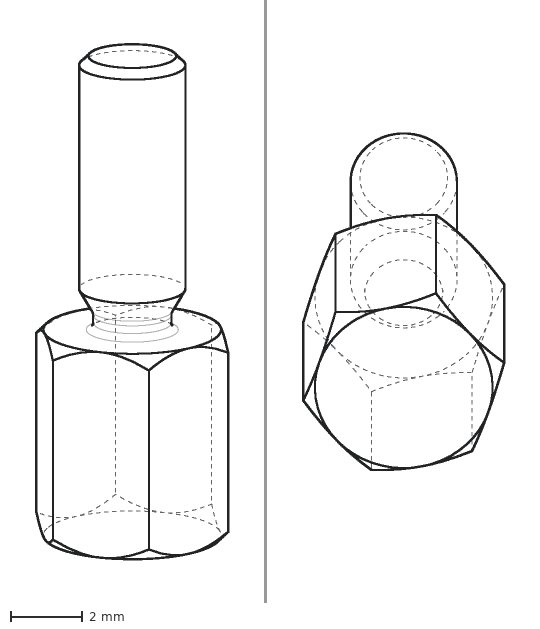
import cadquery as cq
import math

total_height = 14.0
across_flats = 5.0
across_corners = across_flats / math.cos(math.radians(30))
hex_height = 6.0

stud_radius = 3.0 / 2
tip_radius = 2.46 / 2
tip_chamfer = stud_radius - tip_radius

neck_radius = 2.2 / 2
neck_fillet = 0.2
undercut_height = 1.19
cone_angle = math.radians(30)
cone_blend_radius = 0.3


def hex_body():
    """Hexagonal prism with both ends turned to 45 degree conical chamfers."""
    prism = cq.Workplane("XY").polygon(6, across_corners).extrude(hex_height)
    corner_radius = across_corners / 2
    corner_chamfer = corner_radius - across_flats / 2
    turned_envelope = (
        cq.Workplane("XY").circle(corner_radius).extrude(hex_height)
        .edges().chamfer(corner_chamfer)
    )
    return prism.intersect(turned_envelope)


def stud():
    """Revolved stud with a filleted neck, a conical run-out and a chamfered tip."""
    stud_base = hex_height + undercut_height
    blend_top_radius = neck_radius + cone_blend_radius * (1 - math.cos(cone_angle))
    blend_top = stud_base - (stud_radius - blend_top_radius) / math.tan(cone_angle)
    blend_bottom = blend_top - cone_blend_radius * math.sin(cone_angle)
    half_angle = cone_angle / 2
    blend_middle = (
        neck_radius + cone_blend_radius * (1 - math.cos(half_angle)),
        blend_bottom + cone_blend_radius * math.sin(half_angle),
    )
    fillet_inset = neck_fillet * (1 - math.sqrt(0.5))
    return (
        cq.Workplane("XZ")
        .moveTo(0, hex_height)
        .lineTo(neck_radius + neck_fillet, hex_height)
        .threePointArc(
            (neck_radius + fillet_inset, hex_height + fillet_inset),
            (neck_radius, hex_height + neck_fillet),
        )
        .lineTo(neck_radius, blend_bottom)
        .threePointArc(blend_middle, (blend_top_radius, blend_top))
        .lineTo(stud_radius, stud_base)
        .lineTo(stud_radius, total_height - tip_chamfer)
        .lineTo(tip_radius, total_height)
        .lineTo(0, total_height)
        .close()
        .revolve(360, (0, 0, 0), (0, 1, 0))
    )


result = hex_body().union(stud())